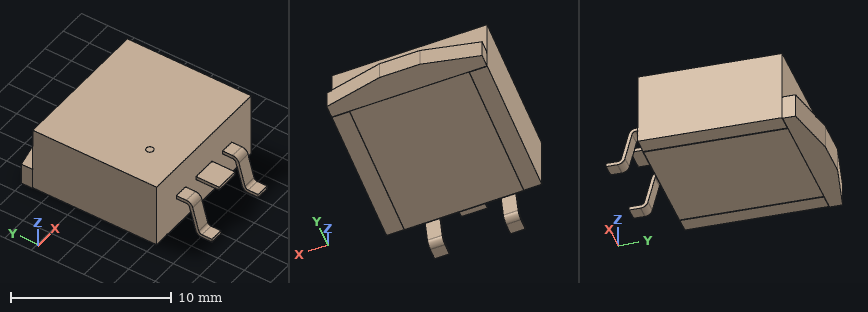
import cadquery as cq
import math


width = 10.41
housing_length = 9.4
overall_height = 4.88
standoff = 0.05
housing_height = overall_height - standoff

lead_reach = 2.7
tab_reach = 1.67
overall_length = lead_reach + housing_length + tab_reach
housing_front = lead_reach - overall_length / 2
housing_rear = housing_front + housing_length
tab_rear = housing_rear + tab_reach

tab_thickness = 1.6
tab_rear_width = 2.7
tab_shoulder_depth = 0.81
pad_width = 8.0

lead_thickness = 0.25
lead_width = 1.0
lead_pitch = 2.54
lead_top = 2.58
lead_bend_angle = 75
lead_inner_radius = 0.25
centre_lead_width = 1.75
centre_lead_length = 1.75

mark_diameter = 0.52
mark_depth = 0.1
mark_from_front = 2.35


def make_mark():
    """Round disc set flush into the housing top, in line with the first lead."""
    return (
        cq.Workplane("XY", origin=(-lead_pitch, housing_front + mark_from_front, overall_height))
        .circle(mark_diameter / 2)
        .extrude(-mark_depth)
    )


def make_housing(mark):
    """Rectangular moulding with a round recess for the pin-one mark."""
    block = (
        cq.Workplane("XY", origin=(0, (housing_front + housing_rear) / 2, standoff))
        .rect(width, housing_length)
        .extrude(housing_height)
    )
    return block.cut(mark)


def make_tab():
    """Thick block behind the housing, joined to a thin pad running below the housing."""
    block = (
        cq.Workplane("XY")
        .moveTo(-width / 2, housing_rear)
        .lineTo(width / 2, housing_rear)
        .lineTo(width / 2, tab_rear - tab_shoulder_depth)
        .lineTo(tab_rear_width / 2, tab_rear)
        .lineTo(-tab_rear_width / 2, tab_rear)
        .lineTo(-width / 2, tab_rear - tab_shoulder_depth)
        .close()
        .extrude(tab_thickness)
    )
    pad = (
        cq.Workplane("XY", origin=(0, (housing_front + housing_rear) / 2, 0))
        .rect(pad_width, housing_length)
        .extrude(standoff)
    )
    return block.union(pad)


def make_formed_lead(x_centre):
    """Constant-thickness strip: flat shoulder, bend down, sloped leg, bend out, flat foot."""
    bend = math.radians(lead_bend_angle)
    outer_radius = lead_inner_radius + lead_thickness
    radius_sum = lead_inner_radius + outer_radius

    drop = lead_top - lead_thickness - standoff
    leg_length = (drop - radius_sum * (1 - math.cos(bend))) / math.sin(bend)
    run = radius_sum * math.sin(bend) + leg_length * math.cos(bend)
    flat_length = (lead_reach - run) / 2

    toe = housing_front - lead_reach
    upper_y = housing_front - flat_length
    upper_z = lead_top - outer_radius
    lower_y = toe + flat_length
    lower_z = standoff + outer_radius

    def upper_bend(radius, angle):
        return (upper_y - radius * math.sin(angle), upper_z + radius * math.cos(angle))

    def lower_bend(radius, angle):
        return (lower_y + radius * math.sin(angle), lower_z - radius * math.cos(angle))

    return (
        cq.Workplane("YZ", origin=(x_centre, 0, 0))
        .moveTo(housing_front, lead_top)
        .lineTo(*upper_bend(outer_radius, 0))
        .threePointArc(upper_bend(outer_radius, bend / 2), upper_bend(outer_radius, bend))
        .lineTo(*lower_bend(lead_inner_radius, bend))
        .threePointArc(lower_bend(lead_inner_radius, bend / 2), lower_bend(lead_inner_radius, 0))
        .lineTo(toe, standoff + lead_thickness)
        .lineTo(toe, standoff)
        .lineTo(*lower_bend(outer_radius, 0))
        .threePointArc(lower_bend(outer_radius, bend / 2), lower_bend(outer_radius, bend))
        .lineTo(*upper_bend(lead_inner_radius, bend))
        .threePointArc(upper_bend(lead_inner_radius, bend / 2), upper_bend(lead_inner_radius, 0))
        .lineTo(housing_front, lead_top - lead_thickness)
        .close()
        .extrude(lead_width / 2, both=True)
    )


def make_centre_lead():
    """Straight cropped stub, level with the shoulders of the formed leads."""
    return (
        cq.Workplane("XY", origin=(0, housing_front - centre_lead_length / 2, lead_top))
        .rect(centre_lead_width, centre_lead_length)
        .extrude(-lead_thickness)
    )


pin_one_mark = make_mark()
housing = make_housing(pin_one_mark)
tab = make_tab()
formed_leads = [make_formed_lead(side * lead_pitch) for side in (-1, 1)]
centre_lead = make_centre_lead()

result = cq.Compound.makeCompound([
    housing.val(),
    tab.val(),
    *[lead.val() for lead in formed_leads],
    centre_lead.val(),
    pin_one_mark.val(),
])